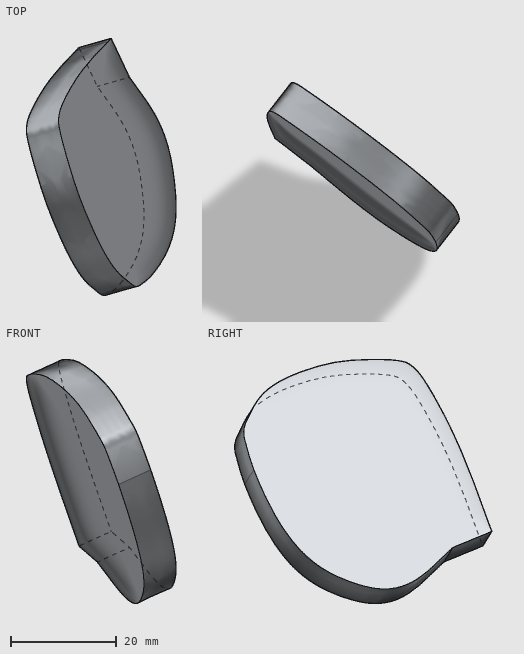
import cadquery as cq

plate_thickness = 6.9
plate_normal = (0.88, 0.25, 0.4)
level_direction = (plate_normal[1], -plate_normal[0], 0)
tip_position = (-3.95, 22.55, -12.2)

tip = (0, 0)
notch = (8.05, 3.3)
seam = (45.4, -12.7)
shoulder = (0.45, -1.75)

belly_points = [
    notch,
    (11.95, 6.85),
    (15.2, 9.45),
    (18.55, 11.2),
    (22.2, 11.9),
    (28.2, 10.7),
    (33.45, 8.2),
    (36.6, 5.6),
    (40.05, 1.0),
    (42.8, -4.65),
    seam,
]

crown_points = [
    seam,
    (46.25, -17.45),
    (46.45, -20.65),
    (45.05, -23.9),
    (42.45, -27.75),
    (38.25, -30.95),
    (32.45, -33.45),
    (26.75, -34.95),
    (19.35, -35.55),
    (14.2, -35.25),
    (12.9, -34.9),
    (11.75, -34.05),
    (10.65, -32.8),
    (9.25, -30.25),
    (7.05, -25.15),
    (4.8, -18.65),
    (2.6, -10.9),
    shoulder,
]


def curve_direction(start, end):
    """Return the direction of the chord between two outline points."""
    return (end[0] - start[0], end[1] - start[1])


def plate_outline(plane):
    """Draw the closed outline: straight edges at the tip, smooth curves elsewhere."""
    seam_direction = curve_direction(belly_points[-2], crown_points[1])
    notch_direction = curve_direction(notch, belly_points[1])
    shoulder_direction = curve_direction(shoulder, tip)
    return (
        cq.Workplane(plane)
        .moveTo(*tip)
        .lineTo(*notch)
        .spline(belly_points[1:], tangents=[notch_direction, seam_direction], includeCurrent=True)
        .spline(crown_points[1:], tangents=[seam_direction, shoulder_direction], includeCurrent=True)
        .close()
    )


plate_plane = cq.Plane(origin=tip_position, xDir=level_direction, normal=plate_normal)
result = plate_outline(plate_plane).extrude(plate_thickness)